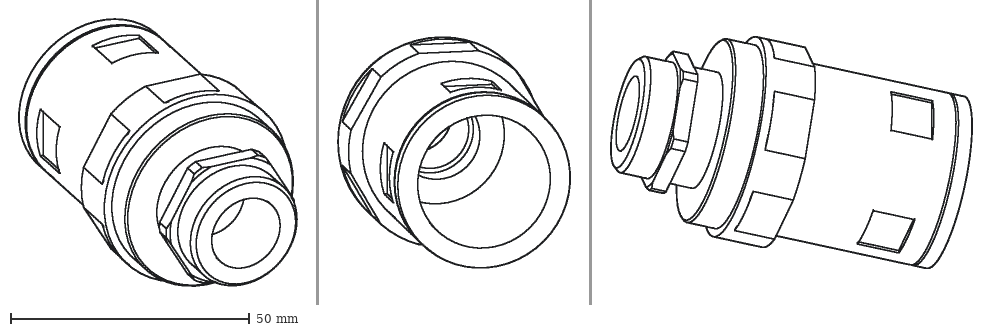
import cadquery as cq
import math

FLANGE_END = 3.0
HOUSING_START = 3.6
WINDOW_START = 8.5
WINDOW_END = 17.65
COLLAR_START = 35.55
WRENCH_FLAT_END = 44.4
COLLAR_END = 46.4
SHOULDER_END = 53.05
HEX_START = 59.4
HEX_END = 63.0
LENGTH = 70.0

BARREL_DIAMETER = 37.0
COLLAR_DIAMETER = 43.0
SHOULDER_DIAMETER = 39.5
THREAD_DIAMETER = 25.0
HEX_CORNER_DIAMETER = 30.0

SLEEVE_DIAMETER = 30.9
CONDUIT_BORE = 28.5
PASSAGE_DIAMETER = 16.0
PASSAGE_MOUTH_DIAMETER = 18.0
SLEEVE_SEAT = COLLAR_END

FLAT_COUNT = 6
COLLAR_ACROSS_FLATS = 41.0
HEX_ACROSS_FLATS = 27.0
WINDOW_COUNT = 4
WINDOW_WIDTH = 10.9
WINDOW_FLOOR_DISTANCE = 17.0
SHOULDER_CHAMFER_LENGTH = 0.5
SHOULDER_CHAMFER_DEPTH = 0.4
THREAD_CHAMFER_LENGTH = 1.05
THREAD_CHAMFER_DEPTH = 0.85
HEX_CHAMFER_LENGTH = 0.4
HEX_CHAMFER_ANGLE = 30.0


def cylinder(start, end, diameter):
    """Solid cylinder along X between two axial stations."""
    return cq.Workplane("YZ").workplane(offset=start).circle(diameter / 2).extrude(end - start)


def chamfered_cylinder(start, end, diameter, chamfer_length, chamfer_depth):
    """Cylinder whose +X rim is chamfered by an axial length and a radial depth."""
    radius = diameter / 2
    cone_start = end - chamfer_length
    cone = cq.Solid.makeCone(
        radius, radius - chamfer_depth, chamfer_length, cq.Vector(cone_start, 0, 0), cq.Vector(1, 0, 0)
    )
    return cylinder(start, cone_start, diameter).union(cq.Workplane(cone))


def hexagon(start, end, across_flats):
    """Hexagonal bar along X with flats facing up and down."""
    across_corners = across_flats / math.cos(math.pi / FLAT_COUNT)
    return (
        cq.Workplane("YZ").workplane(offset=start)
        .polygon(FLAT_COUNT, across_corners).extrude(end - start)
    )


def make_collar():
    """Round collar whose front part carries six wrench flats."""
    collar = cylinder(COLLAR_START, COLLAR_END, COLLAR_DIAMETER)
    wrench_zone = cylinder(COLLAR_START, WRENCH_FLAT_END, COLLAR_DIAMETER)
    flats = hexagon(COLLAR_START, WRENCH_FLAT_END, COLLAR_ACROSS_FLATS)
    return collar.cut(wrench_zone.cut(flats))


def make_thread_hex():
    """Hexagon with turned corners and a conical chamfer towards the thread."""
    chamfer_depth = HEX_CHAMFER_LENGTH / math.tan(math.radians(HEX_CHAMFER_ANGLE))
    turned_blank = chamfered_cylinder(
        HEX_START, HEX_END, HEX_CORNER_DIAMETER, HEX_CHAMFER_LENGTH, chamfer_depth
    )
    return turned_blank.intersect(hexagon(HEX_START, HEX_END, HEX_ACROSS_FLATS))


def make_window_cutter():
    """Block whose inner face is the flat floor of the recess facing +Z."""
    return cq.Workplane("XY").box(
        WINDOW_END - WINDOW_START, WINDOW_WIDTH, BARREL_DIAMETER, centered=(False, True, False)
    ).translate((WINDOW_START, 0, WINDOW_FLOOR_DISTANCE))


def make_passage():
    """Through passage, stepped wider between the sleeve seat and the shoulder end."""
    mouth = cylinder(SLEEVE_SEAT, SHOULDER_END, PASSAGE_MOUTH_DIAMETER)
    return cylinder(SLEEVE_SEAT, LENGTH, PASSAGE_DIAMETER).union(mouth)


def make_housing():
    """Barrel, collar, shoulder and threaded end with its hexagon."""
    shoulder = chamfered_cylinder(
        COLLAR_END, SHOULDER_END, SHOULDER_DIAMETER, SHOULDER_CHAMFER_LENGTH, SHOULDER_CHAMFER_DEPTH
    )
    thread = chamfered_cylinder(
        SHOULDER_END, LENGTH, THREAD_DIAMETER, THREAD_CHAMFER_LENGTH, THREAD_CHAMFER_DEPTH
    )
    housing = (
        cylinder(HOUSING_START, COLLAR_END, BARREL_DIAMETER)
        .union(make_collar())
        .union(shoulder)
        .union(thread)
        .union(make_thread_hex())
    )
    window_cutter = make_window_cutter()
    for index in range(WINDOW_COUNT):
        angle = index * 360 / WINDOW_COUNT
        housing = housing.cut(window_cutter.rotate((0, 0, 0), (1, 0, 0), angle))
    sleeve_bore = cylinder(HOUSING_START, SLEEVE_SEAT, SLEEVE_DIAMETER)
    return housing.cut(sleeve_bore).cut(make_passage())


def make_insert():
    """Flanged sleeve seated in the housing, its flange held clear of the barrel."""
    flange = cylinder(0, FLANGE_END, BARREL_DIAMETER)
    sleeve = cylinder(0, SLEEVE_SEAT, SLEEVE_DIAMETER)
    return flange.union(sleeve).cut(cylinder(0, SLEEVE_SEAT, CONDUIT_BORE))


housing = make_housing()
insert = make_insert()
result = cq.Compound.makeCompound([housing.val(), insert.val()])